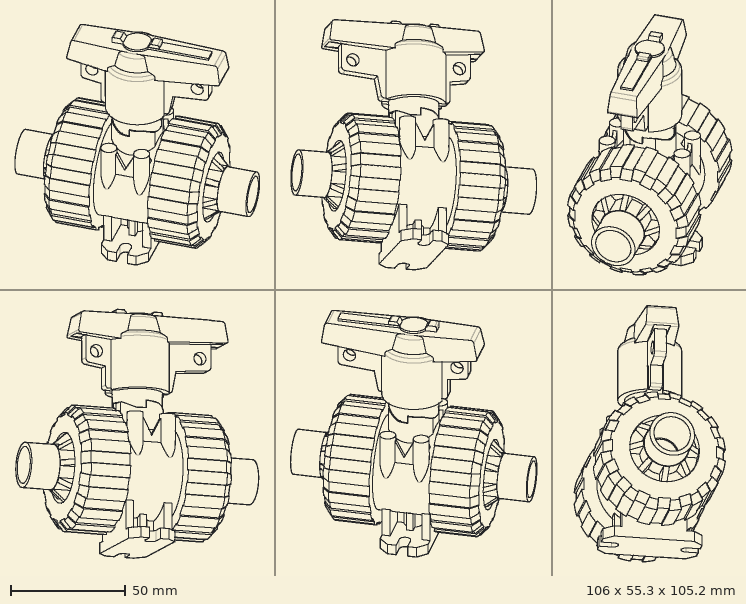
import cadquery as cq
import math

OVERALL_LENGTH = 106.0

BODY_RADIUS = 21.0
BODY_HALF_LENGTH = 26.6
BORE_RADIUS = 7.5
NECK_RADIUS = 11.6
NECK_FLAT_X = 10.0

RAMP_LOW_Z = 27.2
RAMP_HIGH_Z = 30.6
RAMP_SHOULDER_Z = 30.1
RAMP_FALL_START = 2.3
RAMP_FALL_END = 4.5
QUADRANT_ANGLES = (45, 135, 225, 315)

PEG_RADIUS = 3.5
PEG_X = 7.5
PEG_Y = 17.2
PEG_TOP_Z = 23.4
WEB_THICKNESS = 1.8
WEB_TOP_Z = 21.3
WEB_VALLEY_Z = 13.7
GUSSET_WIDTH = 2.0
GUSSET_SPLAY = 20.0
GUSSET_REACH = 7.4

FOOT_BOTTOM_Z = -33.1
FOOT_TOP_Z = -28.3
FOOT_HALF_X = 10.8
FOOT_HALF_Y = 22.0
FOOT_CORNER = 4.2
FOOT_SLOT_RADIUS = 2.5
FOOT_SLOT_CENTRE_Y = 16.5
LEG_HALF_Y = 14.4
LEG_THICKNESS = 3.7
SPINE_THICKNESS = 3.0
SPINE_HALF_Y = 7.5
CROSS_WEB_THICKNESS = 2.5
FOOT_BOSS_RADIUS = 4.3

NUT_RADIUS = 27.8
NUT_INNER_X = 13.5
NUT_OUTER_X = 35.0
NUT_CHAMFER_LENGTH = 3.3
NUT_CHAMFER_DEPTH = 3.6
NUT_HOLE_RADIUS = 15.5
NUT_LIP_X = 29.7
GROOVE_COUNT = 16
GROOVE_WIDTH = 5.3
GROOVE_DEPTH = 1.1

PIPE_RADIUS = 10.0
PIPE_BORE_RADIUS = 8.1
RIB_CORE_RADIUS = 10.2
RIB_START_X = 39.9
RIB_COUNT = 8
RIB_WIDTH = 2.5
RIB_SLOPE = 0.86

SKIRT_RADIUS = 11.0
HUB_RADIUS = 14.0
HUB_BOTTOM_Z = 35.7
HUB_SHOULDER_Z = 58.8
HUB_SHOULDER_ROUND = 2.0
HUB_SHOULDER_SWEEP = 60.0
DOME_BASE_RADIUS = 11.5
DOME_BASE_Z = 61.7
DOME_TOP_RADIUS = 9.5
DOME_TOP_ROUND = 1.8
GRIP_TOP_Z = 69.4
GRIP_BOTTOM_Z = 57.9
GRIP_END_BOTTOM_Z = 59.8
GRIP_TOP_ENDS = (-28.3, 38.6)
GRIP_BOTTOM_ENDS = (-30.6, 40.3)
GRIP_TOP_HALF_WIDTHS = (6.4, 8.0, 5.9)
GRIP_BOTTOM_HALF_WIDTHS = (7.5, 9.5, 7.1)
GRIP_TOP_ROUND = 1.6
GRIP_BOTTOM_ROUND = 0.8
SLOT_WIDTH = 7.2
SLOT_FLOOR_Z = 47.7
SLOT_ROOF_Z = 59.8

PLATE_THICKNESS = 5.3
PLATE_LEFT_X = -25.0
PLATE_RIGHT_X = 33.5
PLATE_HOLE_RADIUS = 2.8
PLATE_HOLES_X = (-20.0, 28.3)
PLATE_HOLES_Z = 52.8
PLATE_LEG_LEFT_X = -15.8
PLATE_LEG_RIGHT_X = 17.2
PLATE_LEG_RIGHT_FOOT_X = 15.3
PLATE_LEG_BOTTOM_Z = 36.6
PLATE_WING_OUTER_Z = 47.7
PLATE_WING_INNER_Z = 46.3
PLATE_WING_ROUND = 1.9
PLATE_LEG_ROUND = 1.3

CAP_RADIUS = 6.4
CAP_TOP_Z = 70.4
TAB_OUTER_X = 10.8
TAB_TOP_INNER_X = 7.0
TAB_INNER_X = 5.6
TAB_TOP_Z = 72.1
TAB_WIDTH = 5.1
TAB_ROUND = 0.7
BAR_WIDTH = 5.5


def box(x_range, y_range, z_range):
    """Box between two limits on each axis."""
    size = [high - low for low, high in (x_range, y_range, z_range)]
    corner = (x_range[0], y_range[0], z_range[0])
    return cq.Workplane("XY").box(*size, centered=False).translate(corner)


def cylinder_z(radius, bottom, top, x=0, y=0):
    """Upright cylinder."""
    return cq.Workplane("XY").center(x, y).circle(radius).extrude(top - bottom).translate((0, 0, bottom))


def cylinder_x(radius, start, end):
    """Cylinder on the pipe axis."""
    return cq.Workplane("YZ").circle(radius).extrude(end - start).translate((start, 0, 0))


def plate_xz(points, width):
    """Outline in the XZ plane, extruded evenly to both sides of y = 0."""
    return cq.Workplane("XZ").polyline(points).close().extrude(width / 2, both=True)


def mirrored_ends(solid):
    """The solid at the +X end and its mirror image at the -X end."""
    return [solid, solid.mirror("YZ")]


def ramp_quadrants():
    """Material under the four locking ramps, which each fall anticlockwise and end in a step."""
    reach = NECK_RADIUS + 1.1
    profile = [
        (-reach, RAMP_LOW_Z),
        (-reach, RAMP_HIGH_Z),
        (-NECK_RADIUS / math.sqrt(2), RAMP_HIGH_Z),
        (-RAMP_FALL_START, RAMP_SHOULDER_Z),
        (RAMP_FALL_END, RAMP_LOW_Z),
    ]
    prism = cq.Workplane("YZ").polyline(profile).close().extrude(reach)
    quadrant = box((0, reach), (0, reach), (RAMP_LOW_Z, RAMP_HIGH_Z)).rotate((0, 0, 0), (0, 0, 1), -45)
    ramp = prism.intersect(quadrant)
    ramps = cq.Workplane("XY")
    for angle in QUADRANT_ANGLES:
        ramps = ramps.add(ramp.rotate((0, 0, 0), (0, 0, 1), angle))
    return ramps.combine()


def make_neck():
    """Stem neck with two flats, topped by the locking ramps."""
    neck = cylinder_z(NECK_RADIUS, 0, RAMP_LOW_Z)
    ramp_tops = cylinder_z(NECK_RADIUS, RAMP_LOW_Z, RAMP_HIGH_Z).intersect(ramp_quadrants())
    between_flats = box(
        (-NECK_FLAT_X, NECK_FLAT_X), (-NECK_RADIUS, NECK_RADIUS), (0, RAMP_HIGH_Z)
    )
    return neck.union(ramp_tops).intersect(between_flats)


def make_peg_pair():
    """Two pegs on the +Y side, the V web between them and their sloped gussets."""
    web_end_x = PEG_X - PEG_RADIUS
    web = plate_xz(
        [
            (-PEG_X, 0),
            (-PEG_X, WEB_TOP_Z),
            (-web_end_x, WEB_TOP_Z),
            (0, WEB_VALLEY_Z),
            (web_end_x, WEB_TOP_Z),
            (PEG_X, WEB_TOP_Z),
            (PEG_X, 0),
        ],
        WEB_THICKNESS,
    ).translate((0, PEG_Y, 0))
    slope = (WEB_TOP_Z - WEB_VALLEY_Z) / web_end_x
    gusset = plate_xz(
        [
            (0, 0),
            (0, WEB_TOP_Z),
            (PEG_RADIUS, WEB_TOP_Z),
            (GUSSET_REACH, WEB_TOP_Z - slope * (GUSSET_REACH - PEG_RADIUS)),
            (GUSSET_REACH, 0),
        ],
        GUSSET_WIDTH,
    )
    pair = web
    for side in (-1, 1):
        turned = gusset.rotate((0, 0, 0), (0, 0, 1), -90 + side * GUSSET_SPLAY)
        pair = pair.union(turned.translate((side * PEG_X, PEG_Y, 0)))
        pair = pair.union(cylinder_z(PEG_RADIUS, 0, PEG_TOP_Z, side * PEG_X, PEG_Y))
    return pair


def make_foot():
    """Slotted foot plate with the legs, spine, cross web and boss that carry the body."""
    foot = box((-FOOT_HALF_X, FOOT_HALF_X), (-FOOT_HALF_Y, FOOT_HALF_Y), (FOOT_BOTTOM_Z, FOOT_TOP_Z))
    foot = foot.edges("|Z").chamfer(FOOT_CORNER)
    for side in (-1, 1):
        slot = cylinder_z(FOOT_SLOT_RADIUS, FOOT_BOTTOM_Z, FOOT_TOP_Z).union(
            box((-FOOT_SLOT_RADIUS, FOOT_SLOT_RADIUS), (0, FOOT_HALF_Y), (FOOT_BOTTOM_Z, FOOT_TOP_Z))
        )
        slot = slot.translate((0, FOOT_SLOT_CENTRE_Y, 0))
        foot = foot.cut(slot if side > 0 else slot.mirror("XZ"))

    column_z = (FOOT_TOP_Z, 0)
    leg = box((FOOT_HALF_X - LEG_THICKNESS, FOOT_HALF_X), (-LEG_HALF_Y, LEG_HALF_Y), column_z)
    spine = box((-SPINE_THICKNESS / 2, SPINE_THICKNESS / 2), (-SPINE_HALF_Y, SPINE_HALF_Y), column_z)
    cross_web = box(
        (-FOOT_HALF_X, FOOT_HALF_X), (-CROSS_WEB_THICKNESS / 2, CROSS_WEB_THICKNESS / 2), column_z
    )
    boss = cylinder_z(FOOT_BOSS_RADIUS, *column_z)
    return foot.union(leg).union(leg.mirror("YZ")).union(spine).union(cross_web).union(boss)


def make_body():
    """Valve body with its neck, pegs and foot, bored through along X."""
    pegs = make_peg_pair()
    body = cylinder_x(BODY_RADIUS, -BODY_HALF_LENGTH, BODY_HALF_LENGTH)
    body = body.union(make_neck()).union(pegs).union(pegs.mirror("XZ")).union(make_foot())
    return body.cut(cylinder_x(BORE_RADIUS, -BODY_HALF_LENGTH, BODY_HALF_LENGTH))


def make_nut():
    """Grooved union nut at the +X end, screwed over the body and retaining the connector flange."""
    chamfer_x = NUT_OUTER_X - NUT_CHAMFER_LENGTH
    nut = (
        cq.Workplane("XY")
        .polyline(
            [
                (NUT_INNER_X, BODY_RADIUS),
                (NUT_INNER_X, NUT_RADIUS),
                (chamfer_x, NUT_RADIUS),
                (NUT_OUTER_X, NUT_RADIUS - NUT_CHAMFER_DEPTH),
                (NUT_OUTER_X, NUT_HOLE_RADIUS),
                (NUT_LIP_X, NUT_HOLE_RADIUS),
                (NUT_LIP_X, BODY_RADIUS),
            ]
        )
        .close()
        .revolve(360, (0, 0, 0), (1, 0, 0))
    )
    floor = NUT_RADIUS - GROOVE_DEPTH
    groove = plate_xz(
        [
            (NUT_INNER_X, floor),
            (chamfer_x, floor),
            (NUT_OUTER_X, floor - NUT_CHAMFER_DEPTH),
            (NUT_OUTER_X, NUT_RADIUS),
            (NUT_INNER_X, NUT_RADIUS),
        ],
        GROOVE_WIDTH,
    )
    for index in range(GROOVE_COUNT):
        nut = nut.cut(groove.rotate((0, 0, 0), (1, 0, 0), index * 360 / GROOVE_COUNT))
    return nut


def make_connector():
    """Pipe end at +X with a ribbed core and a flange seated against the body."""
    connector = cylinder_x(PIPE_RADIUS, BODY_HALF_LENGTH, OVERALL_LENGTH / 2)
    connector = connector.union(cylinder_x(RIB_CORE_RADIUS, BODY_HALF_LENGTH, RIB_START_X))
    connector = connector.union(cylinder_x(BODY_RADIUS, BODY_HALF_LENGTH, NUT_LIP_X))
    rib_peak_x = RIB_START_X - (NUT_HOLE_RADIUS - PIPE_RADIUS) / RIB_SLOPE
    rib = plate_xz(
        [
            (NUT_LIP_X, PIPE_BORE_RADIUS),
            (NUT_LIP_X, NUT_HOLE_RADIUS),
            (rib_peak_x, NUT_HOLE_RADIUS),
            (RIB_START_X, PIPE_RADIUS),
            (RIB_START_X, PIPE_BORE_RADIUS),
        ],
        RIB_WIDTH,
    ).intersect(cylinder_x(NUT_HOLE_RADIUS, NUT_LIP_X, RIB_START_X))
    for index in range(RIB_COUNT):
        connector = connector.union(rib.rotate((0, 0, 0), (1, 0, 0), index * 360 / RIB_COUNT))
    return connector.cut(cylinder_x(PIPE_BORE_RADIUS, BODY_HALF_LENGTH, OVERALL_LENGTH / 2))


def make_hub():
    """Round hub with a rounded shoulder and a conical dome."""
    def shoulder_point(degrees):
        """Point on the shoulder round, counted up from the hub side."""
        angle = math.radians(degrees)
        radius = HUB_RADIUS - HUB_SHOULDER_ROUND * (1 - math.cos(angle))
        return radius, HUB_SHOULDER_Z + HUB_SHOULDER_ROUND * math.sin(angle)

    return (
        cq.Workplane("XZ")
        .moveTo(0, HUB_BOTTOM_Z)
        .lineTo(HUB_RADIUS, HUB_BOTTOM_Z)
        .lineTo(HUB_RADIUS, HUB_SHOULDER_Z)
        .threePointArc(shoulder_point(HUB_SHOULDER_SWEEP / 2), shoulder_point(HUB_SHOULDER_SWEEP))
        .lineTo(DOME_BASE_RADIUS, DOME_BASE_Z)
        .lineTo(DOME_TOP_RADIUS, GRIP_TOP_Z)
        .lineTo(0, GRIP_TOP_Z)
        .close()
        .revolve(360, (0, 0, 0), (0, 1, 0))
        .faces(">Z")
        .edges()
        .fillet(DOME_TOP_ROUND)
    )


def grip_outline(ends, half_widths):
    """Six-sided plan outline of the grip, widest over the stem."""
    stations = list(zip((ends[0], 0, ends[1]), half_widths))
    return stations + [(x, -half_width) for x, half_width in reversed(stations)]


def make_grip():
    """Tapered grip bar whose underside rises towards both ends."""
    grip = (
        cq.Workplane("XY")
        .workplane(offset=GRIP_BOTTOM_Z)
        .polyline(grip_outline(GRIP_BOTTOM_ENDS, GRIP_BOTTOM_HALF_WIDTHS))
        .close()
        .workplane(offset=GRIP_TOP_Z - GRIP_BOTTOM_Z)
        .polyline(grip_outline(GRIP_TOP_ENDS, GRIP_TOP_HALF_WIDTHS))
        .close()
        .loft(ruled=True)
    )
    for end in GRIP_BOTTOM_ENDS:
        underside = [
            (math.copysign(SKIRT_RADIUS, end), GRIP_BOTTOM_Z),
            (end, GRIP_END_BOTTOM_Z),
            (end, GRIP_BOTTOM_Z),
        ]
        grip = grip.cut(plate_xz(underside, 4 * HUB_RADIUS))
    grip = grip.faces(">Z").edges("|Y").fillet(GRIP_TOP_ROUND)
    for end_edge in ("<X", ">X"):
        grip = grip.edges(end_edge).fillet(GRIP_BOTTOM_ROUND)
    return grip


def make_plate():
    """Plate under the grip, with two hanging wings and a hole in each."""
    plate = plate_xz(
        [
            (PLATE_LEFT_X, SLOT_ROOF_Z),
            (PLATE_LEFT_X, PLATE_WING_OUTER_Z),
            (PLATE_LEG_LEFT_X, PLATE_WING_INNER_Z),
            (PLATE_LEG_LEFT_X, PLATE_LEG_BOTTOM_Z),
            (PLATE_LEG_RIGHT_FOOT_X, PLATE_LEG_BOTTOM_Z),
            (PLATE_LEG_RIGHT_X, PLATE_WING_INNER_Z),
            (PLATE_RIGHT_X, PLATE_WING_OUTER_Z),
            (PLATE_RIGHT_X, SLOT_ROOF_Z),
        ],
        PLATE_THICKNESS,
    )
    margin = (PLATE_WING_OUTER_Z - PLATE_WING_INNER_Z) / 2
    wing_corners = cq.selectors.BoxSelector(
        (2 * PLATE_LEFT_X, -PLATE_THICKNESS, PLATE_WING_INNER_Z + margin),
        (2 * PLATE_RIGHT_X, PLATE_THICKNESS, PLATE_WING_OUTER_Z + margin),
    )
    plate = plate.edges("|Y").edges(wing_corners).fillet(PLATE_WING_ROUND)
    plate = plate.faces("<Z").edges("|Y").fillet(PLATE_LEG_ROUND)
    holes = (
        cq.Workplane("XZ")
        .pushPoints([(x, PLATE_HOLES_Z) for x in PLATE_HOLES_X])
        .circle(PLATE_HOLE_RADIUS)
        .extrude(PLATE_THICKNESS, both=True)
    )
    return plate.cut(holes)


def make_cap():
    """Round cap with two locking tabs and a long indicator bar on top of the grip."""
    cap = cylinder_z(CAP_RADIUS, GRIP_TOP_Z, CAP_TOP_Z)
    tab = plate_xz(
        [
            (TAB_INNER_X, GRIP_TOP_Z),
            (TAB_INNER_X, CAP_TOP_Z),
            (TAB_TOP_INNER_X, TAB_TOP_Z),
            (TAB_OUTER_X, TAB_TOP_Z),
            (TAB_OUTER_X, GRIP_TOP_Z),
        ],
        TAB_WIDTH,
    )
    tab = tab.faces(">X").edges(">Z").fillet(TAB_ROUND)
    bar = box((0, PLATE_RIGHT_X), (-BAR_WIDTH / 2, BAR_WIDTH / 2), (GRIP_TOP_Z, CAP_TOP_Z))
    return cap.union(tab).union(tab.mirror("YZ")).union(bar)


def make_handle():
    """Handle with its hub slotted for the plate and its skirt standing on the locking ramps."""
    slot = box(
        (GRIP_BOTTOM_ENDS[0], GRIP_BOTTOM_ENDS[1]),
        (-SLOT_WIDTH / 2, SLOT_WIDTH / 2),
        (HUB_BOTTOM_Z, SLOT_ROOF_Z),
    )
    skirt = cylinder_z(SKIRT_RADIUS, RAMP_LOW_Z, SLOT_FLOOR_Z).cut(ramp_quadrants())
    handle = make_hub().union(make_grip()).cut(slot)
    return handle.union(skirt).union(make_plate()).union(make_cap())


body = make_body()
handle = make_handle()
nuts = mirrored_ends(make_nut())
connectors = mirrored_ends(make_connector())

result = cq.Compound.makeCompound(
    [
        body.val(),
        handle.val(),
        *[nut.val() for nut in nuts],
        *[connector.val() for connector in connectors],
    ]
)